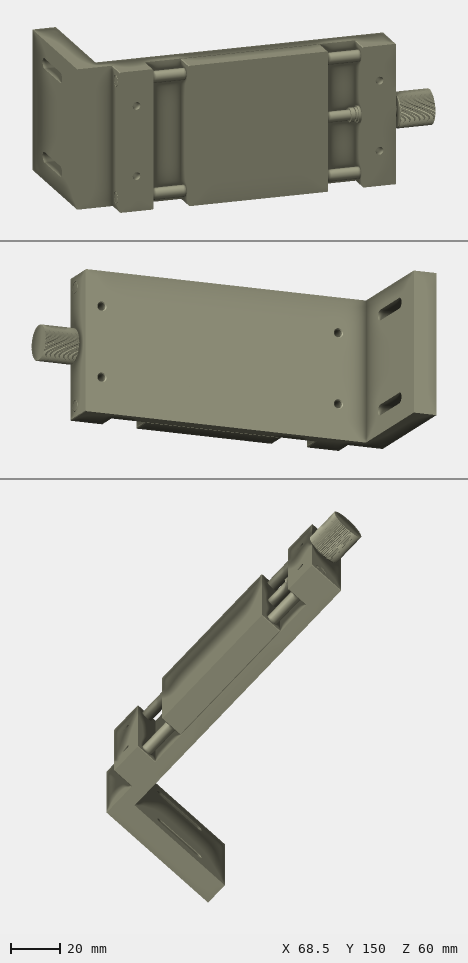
import cadquery as cq
import math

height = 60.0
mid_z = height / 2

back_inner_x = 50.0
back_outer_x = 56.2
foot_thickness = 10.0
back_end_chamfer = 0.22

slot_length = 24.5
slot_width = 4.5
slot_center_x = 25.0
slot_spacing = 40.0

block_width = 9.8
block_outer_x = back_outer_x + block_width
block_length = 14.4
block_chamfer = 0.3
block_spacing = 104.5
lower_block_y = 15.0
upper_block_y = lower_block_y + block_spacing
upper_block_end_y = upper_block_y + block_length
back_length = upper_block_end_y
carriage_gap = 0.5
carriage_width = 9.9
carriage_length = 60.0
carriage_y = (lower_block_y + upper_block_end_y - carriage_length) / 2

screw_hole_diameter = 3.3
screw_mouth_diameter = 4.0
screw_spacing = 30.0

rod_diameter = 5.0
rod_end_chamfer = 0.3
rod_spacing = 50.0
rod_y = lower_block_y
rod_length = upper_block_end_y - lower_block_y
axis_offset = 4.8
axis_x = back_outer_x + axis_offset

total_length = 150.0
knob_diameter = 15.0
knob_length = 15.0
knob_chamfer = 0.3
knurl_count = 90
knurl_depth = 0.22
knob_y = total_length - knob_length
journal_diameter = 6.0
collar_diameter = 7.0
collar_length = 1.0
journal_overhang = 4.2
journal_end_y = upper_block_y - journal_overhang
groove_diameter = 4.5
groove_width = 0.6
groove_offset = 2.5
groove_y = upper_block_y - groove_offset
lead_screw_diameter = 4.5


def box(x, y, width, length):
    """Full-height box with its low corner at (x, y)."""
    return cq.Workplane("XY").box(width, length, height, centered=False).translate((x, y, 0))


def cylinder_y(diameter, start_y, end_y, z=mid_z):
    """Cylinder along Y on the slide's X position."""
    center = cq.Vector(axis_x, start_y, z)
    solid = cq.Solid.makeCylinder(diameter / 2, end_y - start_y, center, cq.Vector(0, 1, 0))
    return cq.Workplane(obj=solid)


def cylinder_x(diameter, start_x, end_x, y, z):
    """Cylinder along X."""
    center = cq.Vector(start_x, y, z)
    solid = cq.Solid.makeCylinder(diameter / 2, end_x - start_x, center, cq.Vector(1, 0, 0))
    return cq.Workplane(obj=solid)


def spaced_pair(spacing):
    """Two heights placed evenly about the middle."""
    return [mid_z - spacing / 2, mid_z + spacing / 2]


def make_screw_mouth(y, z):
    """Cone for the 45 degree chamfer where a screw hole enters the back plate."""
    mouth_radius = screw_mouth_diameter / 2
    hole_radius = screw_hole_diameter / 2
    depth = mouth_radius - hole_radius
    start = cq.Vector(back_inner_x, y, z)
    cone = cq.Solid.makeCone(mouth_radius, hole_radius, depth, start, cq.Vector(1, 0, 0))
    return cq.Workplane(obj=cone)


def make_bracket():
    bracket = box(0, 0, back_outer_x, foot_thickness)
    bracket = bracket.union(box(back_inner_x, 0, back_outer_x - back_inner_x, back_length))
    bracket = bracket.faces(">Y").edges("|X").chamfer(back_end_chamfer)
    for z in spaced_pair(slot_spacing):
        slot = (
            cq.Workplane("XZ")
            .center(slot_center_x, z)
            .slot2D(slot_length, slot_width)
            .extrude(-foot_thickness)
        )
        bracket = bracket.cut(slot)
    for block_y in (lower_block_y, upper_block_y):
        for z in spaced_pair(screw_spacing):
            hole_y = block_y + block_length / 2
            bracket = bracket.cut(cylinder_x(screw_hole_diameter, back_inner_x, back_outer_x, hole_y, z))
            bracket = bracket.cut(make_screw_mouth(hole_y, z))
    return bracket


def cut_rod_holes(body):
    for z in spaced_pair(rod_spacing):
        body = body.cut(cylinder_y(rod_diameter, rod_y, rod_y + rod_length, z))
    return body


def make_end_block(block_y):
    block = box(back_outer_x, block_y, block_width, block_length)
    block = block.faces("<Y or >Y").edges("|X").chamfer(block_chamfer)
    for z in spaced_pair(screw_spacing):
        hole_y = block_y + block_length / 2
        block = block.cut(cylinder_x(screw_hole_diameter, back_outer_x, block_outer_x, hole_y, z))
    return cut_rod_holes(block)


def make_upper_block():
    journal_hole = cylinder_y(journal_diameter, upper_block_y, upper_block_end_y)
    return make_end_block(upper_block_y).cut(journal_hole)


def make_carriage():
    carriage = box(back_outer_x + carriage_gap, carriage_y, carriage_width, carriage_length)
    carriage = carriage.faces("<Y or >Y").edges("|X").chamfer(block_chamfer)
    lead_screw_hole = cylinder_y(lead_screw_diameter, carriage_y, carriage_y + carriage_length)
    return cut_rod_holes(carriage).cut(lead_screw_hole)


def make_rod(z):
    rod = cylinder_y(rod_diameter, rod_y, rod_y + rod_length, z)
    return rod.faces("<Y or >Y").chamfer(rod_end_chamfer)


def make_knob():
    """Knob whose rim is a ring of straight V-shaped knurls."""
    tip_radius = knob_diameter / 2
    root_radius = tip_radius - knurl_depth
    half_step = math.pi / knurl_count
    rim = []
    for i in range(2 * knurl_count):
        radius = root_radius if i % 2 else tip_radius
        rim.append((radius * math.cos(i * half_step), radius * math.sin(i * half_step)))
    knob = (
        cq.Workplane("XZ", origin=(axis_x, total_length, mid_z))
        .polyline(rim)
        .close()
        .extrude(knob_length)
    )
    blank = cylinder_y(knob_diameter, knob_y, total_length).faces("<Y").chamfer(knob_chamfer)
    return knob.intersect(blank)


def make_spindle():
    spindle = make_knob()
    spindle = spindle.union(cylinder_y(journal_diameter, journal_end_y, knob_y))
    spindle = spindle.union(cylinder_y(collar_diameter, upper_block_y - collar_length, upper_block_y))
    groove = cylinder_y(journal_diameter, groove_y, groove_y + groove_width)
    groove = groove.cut(cylinder_y(groove_diameter, groove_y, groove_y + groove_width))
    lead_screw = cylinder_y(lead_screw_diameter, carriage_y, journal_end_y)
    return spindle.cut(groove).union(lead_screw)


bracket = make_bracket()
lower_block = make_end_block(lower_block_y)
upper_block = make_upper_block()
carriage = make_carriage()
rods = [make_rod(z) for z in spaced_pair(rod_spacing)]
spindle = make_spindle()

result = cq.Compound.makeCompound(
    [
        bracket.val(),
        lower_block.val(),
        upper_block.val(),
        carriage.val(),
        *[rod.val() for rod in rods],
        spindle.val(),
    ]
)